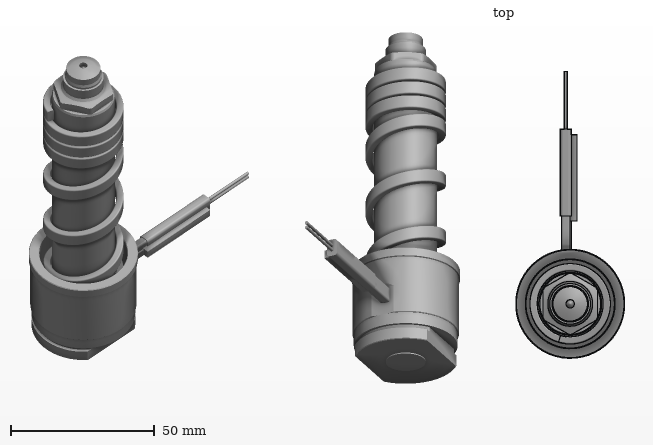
import cadquery as cq
import math

OVERALL_HEIGHT = 126.2
OVERALL_DEPTH = 100.0

FOOT_RADIUS = 7.0
FOOT_HEIGHT = 0.4
BASE_RADIUS = 36.2 / 2
BASE_CHAMFER = 0.3
BASE_TOP = 6.3
BASE_FLAT_X = 14.0
GROOVE_RADIUS = 17.0
GROOVE_BOTTOM = 4.7
SKIRT_TOP = 10.6
SHELL_RADIUS = 18.5
SHELL_CHAMFER = 0.3
RIM_RADIUS = 38.0 / 2
RIM_BOTTOM = 32.2
RIM_TOP = 35.3
RIM_CHAMFER = 0.3
CUP_RADIUS = 15.4
CUP_FLOOR = 10.1
BARREL_RADIUS = 11.0
BARREL_TOP = 112.5
BARREL_CHAMFER_HEIGHT = 0.8
BARREL_CHAMFER_WIDTH = 0.4

NUT_ACROSS_FLATS = 18.9
NUT_CORNER_FILLET = 1.6
NUT_TOP = 116.1
NUT_CONE_DROP = 0.9

COLLAR_RADIUS = 7.8
NECK_RADIUS = 14.1 / 2
NECK_BOTTOM = 116.9
NECK_TOP = 120.8
STEP_RADIUS = 12.7 / 2
STEP_TOP = 121.5
TIP_RADIUS = 12.0 / 2
TIP_BOTTOM = 122.4
DOME_RISE = 1.2
ORIFICE_RADIUS = 2.9 / 2
ORIFICE_DEPTH = 1.8
NEEDLE_HEIGHT = 1.0

SPRING_OUTER_RADIUS = 14.0
SPRING_INNER_RADIUS = 11.5
STRIP_HEIGHT = 4.8
STRIP_FILLET = 0.44
CLOSED_PITCH = 5.4
OPEN_PITCH = 22.0
CLOSED_TURNS = 3.03
RAMP_TURNS = 0.44
OPEN_TURNS = 2.35
SPRING_TOP = 109.7
SPRING_END_ANGLE = 253.0
POINTS_PER_TURN = 10

CABLE_X = -1.5
CABLE_Z = 17.4
CABLE_ROOT_Y = 16.4
ROOT_INSET = 0.3
CABLE_FLAT_Y = 18.0
CABLE_FLAT_TOP = 22.2
CABLE_FLAT_BEVEL = 1.3
JACKET_START_Y = 18.7
JACKET_WIDTH = 3.0
JACKET_HEIGHT = 5.5
JACKET_FILLET = 0.8
SLEEVE_WIDTH = 3.9
SLEEVE_HEIGHT = 6.3
SLEEVE_FILLET = 1.1
SLEEVE_START_Y = 30.7
SLEEVE_LENGTH = 30.2
WIRE_RADIUS = 1.1 / 2
WIRE_SPACING = 1.8
WIRE_EMBED = 1.3
LEAD_LEFT_X = -1.0
LEAD_RIGHT_X = 0.5
LEAD_SLEEVE_RIGHT_X = 2.4
LEAD_BOTTOM = 15.0
LEAD_TOP = 17.5
LEAD_SLEEVE_TOP = 17.9
LEAD_SLEEVE_START_Y = 28.8


def turned_body():
    tip_edge = OVERALL_HEIGHT - DOME_RISE
    orifice_floor = OVERALL_HEIGHT - ORIFICE_DEPTH
    dome_centre_drop = (TIP_RADIUS**2 - ORIFICE_RADIUS**2 - DOME_RISE**2) / (2 * DOME_RISE)
    dome_radius = math.hypot(TIP_RADIUS, dome_centre_drop)
    profile = (
        cq.Workplane("XZ")
        .moveTo(0, 0)
        .lineTo(FOOT_RADIUS, 0)
        .lineTo(FOOT_RADIUS, FOOT_HEIGHT)
        .lineTo(BASE_RADIUS - BASE_CHAMFER, FOOT_HEIGHT)
        .lineTo(BASE_RADIUS, FOOT_HEIGHT + BASE_CHAMFER)
        .lineTo(BASE_RADIUS, GROOVE_BOTTOM)
        .lineTo(GROOVE_RADIUS, GROOVE_BOTTOM)
        .lineTo(GROOVE_RADIUS, BASE_TOP)
        .lineTo(BASE_RADIUS, BASE_TOP)
        .lineTo(BASE_RADIUS, SKIRT_TOP)
        .lineTo(SHELL_RADIUS - SHELL_CHAMFER, SKIRT_TOP)
        .lineTo(SHELL_RADIUS, SKIRT_TOP + SHELL_CHAMFER)
        .lineTo(SHELL_RADIUS, RIM_BOTTOM - RIM_CHAMFER)
        .lineTo(RIM_RADIUS, RIM_BOTTOM)
        .lineTo(RIM_RADIUS, RIM_TOP - RIM_CHAMFER)
        .lineTo(RIM_RADIUS - RIM_CHAMFER, RIM_TOP)
        .lineTo(CUP_RADIUS + RIM_CHAMFER, RIM_TOP)
        .lineTo(CUP_RADIUS, RIM_TOP - RIM_CHAMFER)
        .lineTo(CUP_RADIUS, CUP_FLOOR)
        .lineTo(BARREL_RADIUS, CUP_FLOOR)
        .lineTo(BARREL_RADIUS, BARREL_TOP - BARREL_CHAMFER_HEIGHT)
        .lineTo(BARREL_RADIUS - BARREL_CHAMFER_WIDTH, BARREL_TOP)
        .lineTo(COLLAR_RADIUS, BARREL_TOP)
        .lineTo(COLLAR_RADIUS, NUT_TOP)
        .lineTo(NECK_RADIUS, NECK_BOTTOM)
        .lineTo(NECK_RADIUS, NECK_TOP)
        .lineTo(STEP_RADIUS, NECK_TOP)
        .lineTo(STEP_RADIUS, STEP_TOP)
        .lineTo(TIP_RADIUS, TIP_BOTTOM)
        .lineTo(TIP_RADIUS, tip_edge)
        .radiusArc((ORIFICE_RADIUS, OVERALL_HEIGHT), -dome_radius)
        .lineTo(ORIFICE_RADIUS, orifice_floor)
        .lineTo(0, orifice_floor + NEEDLE_HEIGHT)
        .close()
    )
    return profile.revolve(360, (0, 0), (0, 1))


def base_flats():
    """Material outside the two wrench flats at the bottom of the base."""
    side = 2 * RIM_RADIUS
    between = cq.Workplane("XY").box(2 * BASE_FLAT_X, side, BASE_TOP, centered=(True, True, False))
    return cq.Workplane("XY").box(side, side, BASE_TOP, centered=(True, True, False)).cut(between)


def nut():
    corner_radius = NUT_ACROSS_FLATS / math.sqrt(3)
    height = NUT_TOP - BARREL_TOP
    prism = (
        cq.Workplane("XY", origin=(0, 0, BARREL_TOP))
        .polygon(6, 2 * corner_radius)
        .extrude(height)
        .rotate((0, 0, 0), (0, 0, 1), 30)
        .edges("|Z")
        .fillet(NUT_CORNER_FILLET)
    )
    cone = (
        cq.Workplane("XZ")
        .moveTo(0, BARREL_TOP)
        .lineTo(corner_radius, BARREL_TOP)
        .lineTo(corner_radius, NUT_TOP - NUT_CONE_DROP)
        .lineTo(COLLAR_RADIUS, NUT_TOP)
        .lineTo(0, NUT_TOP)
        .close()
        .revolve(360, (0, 0), (0, 1))
    )
    return prism.intersect(cone)


def spring_drop(turns):
    """Descent of the strip after a number of turns; the pitch changes linearly along each ramp."""
    sections = (
        (CLOSED_TURNS, CLOSED_PITCH, CLOSED_PITCH),
        (RAMP_TURNS, CLOSED_PITCH, OPEN_PITCH),
        (OPEN_TURNS, OPEN_PITCH, OPEN_PITCH),
        (RAMP_TURNS, OPEN_PITCH, CLOSED_PITCH),
        (CLOSED_TURNS, CLOSED_PITCH, CLOSED_PITCH),
    )
    drop = 0.0
    for length, start_pitch, end_pitch in sections:
        part = min(max(turns, 0.0), length)
        drop += start_pitch * part + (end_pitch - start_pitch) * part**2 / (2 * length)
        turns -= length
    return drop


def spring():
    mean_radius = (SPRING_OUTER_RADIUS + SPRING_INNER_RADIUS) / 2
    strip_width = SPRING_OUTER_RADIUS - SPRING_INNER_RADIUS
    start_z = SPRING_TOP - STRIP_HEIGHT / 2
    total_turns = 2 * (CLOSED_TURNS + RAMP_TURNS) + OPEN_TURNS

    def centre_line(turns):
        angle = -2 * math.pi * turns
        return (mean_radius * math.cos(angle), mean_radius * math.sin(angle), start_z - spring_drop(turns))

    steps = round(total_turns * POINTS_PER_TURN)
    path = cq.Workplane("XY").spline([centre_line(i * total_turns / steps) for i in range(steps + 1)])
    section = cq.Sketch().rect(strip_width, STRIP_HEIGHT).vertices().fillet(STRIP_FILLET)
    strip = (
        cq.Workplane("XZ", origin=(mean_radius, 0, start_z))
        .placeSketch(section)
        .sweep(path, auxSpine=path.translate((0, 0, STRIP_HEIGHT)))
    )
    return strip.rotate((0, 0, 0), (0, 0, 1), SPRING_END_ANGLE)


def rounded_bar(width, height, fillet, start_y, end_y):
    """A bar along Y, centred on the cable, with its four long edges rounded."""
    return (
        cq.Workplane("XZ", origin=(CABLE_X, start_y, CABLE_Z))
        .rect(width, height)
        .extrude(start_y - end_y)
        .edges("|Y")
        .fillet(fillet)
    )


def lead_bar(right_x, top_z, start_y, end_y):
    """A plain bar along Y with its lower left edge on the line shared by the lead and its sleeve."""
    size = (right_x - LEAD_LEFT_X, end_y - start_y, top_z - LEAD_BOTTOM)
    corner = (LEAD_LEFT_X, start_y, LEAD_BOTTOM)
    return cq.Workplane("XY", origin=corner).box(*size, centered=False)


def cable():
    sleeve_end = SLEEVE_START_Y + SLEEVE_LENGTH
    lead_sleeve_end = LEAD_SLEEVE_START_Y + SLEEVE_LENGTH
    root_width = JACKET_WIDTH - 2 * ROOT_INSET
    root_height = JACKET_HEIGHT - 2 * ROOT_INSET
    root_fillet = JACKET_FILLET - ROOT_INSET
    root = rounded_bar(root_width, root_height, root_fillet, CABLE_ROOT_Y, JACKET_START_Y)
    jacket = rounded_bar(JACKET_WIDTH, JACKET_HEIGHT, JACKET_FILLET, JACKET_START_Y, sleeve_end)
    sleeve = rounded_bar(SLEEVE_WIDTH, SLEEVE_HEIGHT, SLEEVE_FILLET, SLEEVE_START_Y, sleeve_end)
    lead = lead_bar(LEAD_RIGHT_X, LEAD_TOP, CABLE_ROOT_Y, lead_sleeve_end)
    lead_sleeve = lead_bar(LEAD_SLEEVE_RIGHT_X, LEAD_SLEEVE_TOP, LEAD_SLEEVE_START_Y, lead_sleeve_end)
    wire_start = sleeve_end - WIRE_EMBED
    wire_end = OVERALL_DEPTH - RIM_RADIUS
    wires = (
        cq.Workplane("XZ", origin=(CABLE_X, wire_start, CABLE_Z))
        .pushPoints([(0, -WIRE_SPACING / 2), (0, WIRE_SPACING / 2)])
        .circle(WIRE_RADIUS)
        .extrude(wire_start - wire_end)
    )
    return root.union(jacket).union(sleeve).union(lead).union(lead_sleeve).union(wires)


def cable_flat():
    """Material removed from the shell to make the flat that the cable leaves through."""
    return (
        cq.Workplane("YZ")
        .moveTo(CABLE_FLAT_Y, SKIRT_TOP)
        .lineTo(RIM_RADIUS, SKIRT_TOP)
        .lineTo(RIM_RADIUS, CABLE_FLAT_TOP + CABLE_FLAT_BEVEL)
        .lineTo(CABLE_FLAT_Y, CABLE_FLAT_TOP - CABLE_FLAT_BEVEL)
        .close()
        .extrude(RIM_RADIUS, both=True)
    )


body = turned_body().cut(base_flats()).cut(cable_flat())
result = body.union(nut()).union(cable()).union(spring())